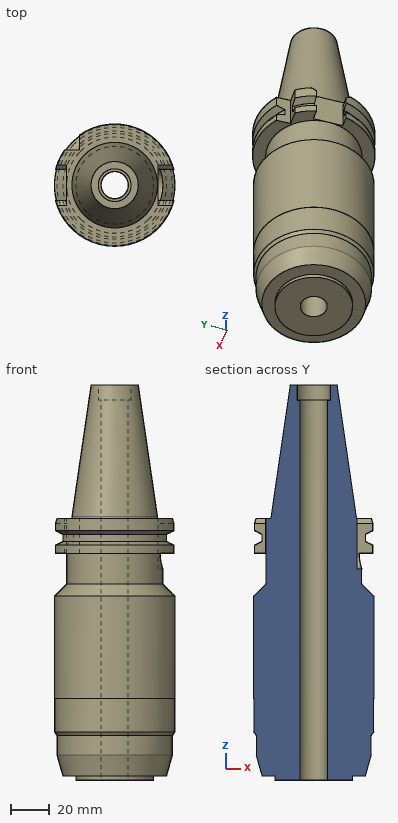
import cadquery as cq


gauge_radius = 44.45 / 2
taper_length = 68.4
taper_ratio = 7 / 24
tip_radius = gauge_radius - taper_length * taper_ratio / 2

flange_radius = 63.55 / 2
flange_top = -1.0
flange_bottom = -19.1
groove_center = -11.1
groove_floor_radius = 56.25 / 2
groove_floor_width = 3.75
groove_mouth_width = 7.5

total_length = 205.4
nose_bottom = taper_length - total_length
collar_radius = 25.0
body_radius = 62.7 / 2
shoulder_top = -35.0
shoulder_bottom = shoulder_top - (body_radius - collar_radius)
ring_top = -94.5
ring_bottom = -111.8
ring_radius = 62.5 / 2
nut_radius = 60.0 / 2
nut_step_height = 1.8
nut_cone_top = -123.7
nut_bottom = -134.7
nut_bottom_radius = 53.8 / 2
nose_radius = 40.4 / 2

slot_width = 16.1
slot_chamfer = 2.5
left_slot_floor = 25.0
right_slot_floor = 22.5
slot_end_center = flange_bottom

notch_offset = 18.3

counterbore_radius = 17.0 / 2
counterbore_depth = 8.0
bore_radius = 14.0 / 2


def turned_body():
    half_floor = groove_floor_width / 2
    half_mouth = groove_mouth_width / 2
    profile = [
        (0, taper_length),
        (tip_radius, taper_length),
        (gauge_radius, 0),
        (gauge_radius, flange_top),
        (flange_radius, flange_top),
        (flange_radius, groove_center + half_mouth),
        (groove_floor_radius, groove_center + half_floor),
        (groove_floor_radius, groove_center - half_floor),
        (flange_radius, groove_center - half_mouth),
        (flange_radius, flange_bottom),
        (collar_radius, flange_bottom),
        (collar_radius, shoulder_top),
        (body_radius, shoulder_bottom),
        (body_radius, ring_top),
        (ring_radius, ring_top),
        (ring_radius, ring_bottom),
        (nut_radius, ring_bottom - nut_step_height),
        (nut_radius, nut_cone_top),
        (nut_bottom_radius, nut_bottom),
        (nose_radius, nut_bottom),
        (nose_radius, nose_bottom),
        (0, nose_bottom),
    ]
    return cq.Workplane("XZ").polyline(profile).close().revolve(360, (0, 0), (0, 1))


def drive_slot(floor, side):
    """Round-ended slot through the flange with a chamfered mouth; side is +1 or -1 along X."""
    half_width = slot_width / 2
    half_mouth = half_width + slot_chamfer
    return (
        cq.Workplane("YZ", origin=(side * floor, 0, 0))
        .moveTo(-half_width, slot_end_center)
        .threePointArc((0, slot_end_center - half_width), (half_width, slot_end_center))
        .lineTo(half_width, flange_top - slot_chamfer)
        .lineTo(half_mouth, flange_top)
        .lineTo(-half_mouth, flange_top)
        .lineTo(-half_width, flange_top - slot_chamfer)
        .close()
        .extrude(side * (flange_radius - floor))
    )


def orientation_notch():
    size = flange_radius - notch_offset
    return (
        cq.Workplane("XY", origin=(-notch_offset, notch_offset, flange_bottom))
        .rect(-size, size, centered=False)
        .extrude(flange_top - flange_bottom)
    )


def bores():
    through = cq.Workplane("XY", origin=(0, 0, nose_bottom)).circle(bore_radius).extrude(total_length)
    counterbore = (
        cq.Workplane("XY", origin=(0, 0, taper_length))
        .circle(counterbore_radius)
        .extrude(-counterbore_depth)
    )
    return through.union(counterbore)


result = (
    turned_body()
    .cut(drive_slot(left_slot_floor, -1))
    .cut(drive_slot(right_slot_floor, 1))
    .cut(orientation_notch())
    .cut(bores())
)